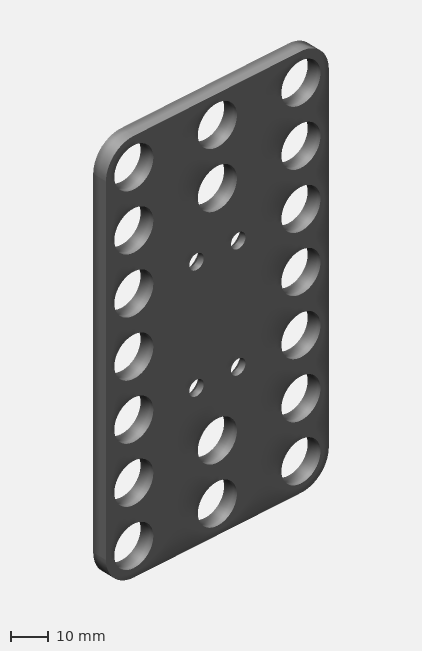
import cadquery as cq

THICKNESS = 5.0
WIDTH = 80.0
HEIGHT = 140.0
CORNER_RADIUS = 10.0

GRID_HOLE_DIAMETER = 14.0
COLUMN_PITCH = 30.0
ROW_PITCH = 20.0
OUTER_COLUMN_ROWS = (-3, -2, -1, 0, 1, 2, 3)
MIDDLE_COLUMN_ROWS = (-3, -2, 2, 3)

SCREW_HOLE_DIAMETER = 5.2
COUNTERSINK_DIAMETER = 11.0
COUNTERSINK_ANGLE = 90.0
SCREW_SPACING_Y = 15.0
SCREW_SPACING_Z = 2 * ROW_PITCH


def make_plate():
    """Rectangular plate with its four corners rounded."""
    plate = cq.Workplane("XY").box(THICKNESS, WIDTH, HEIGHT)
    return plate.edges("|X").fillet(CORNER_RADIUS)


def grid_hole_centres():
    """Centres of the large holes; the middle column skips the screw hole area."""
    centres = [(0, row * ROW_PITCH) for row in MIDDLE_COLUMN_ROWS]
    for y in (-COLUMN_PITCH, COLUMN_PITCH):
        centres += [(y, row * ROW_PITCH) for row in OUTER_COLUMN_ROWS]
    return centres


def cut_grid_holes(plate):
    """Cut the large holes through the full thickness."""
    face = plate.faces("<X").workplane(origin=(0, 0, 0))
    return face.pushPoints(grid_hole_centres()).hole(GRID_HOLE_DIAMETER)


def cut_screw_holes(plate):
    """Cut the screw holes, countersunk on the -X face."""
    face = plate.faces("<X").workplane(origin=(0, 0, 0))
    corners = face.rect(SCREW_SPACING_Y, SCREW_SPACING_Z, forConstruction=True).vertices()
    return corners.cskHole(SCREW_HOLE_DIAMETER, COUNTERSINK_DIAMETER, COUNTERSINK_ANGLE)


result = cut_screw_holes(cut_grid_holes(make_plate()))